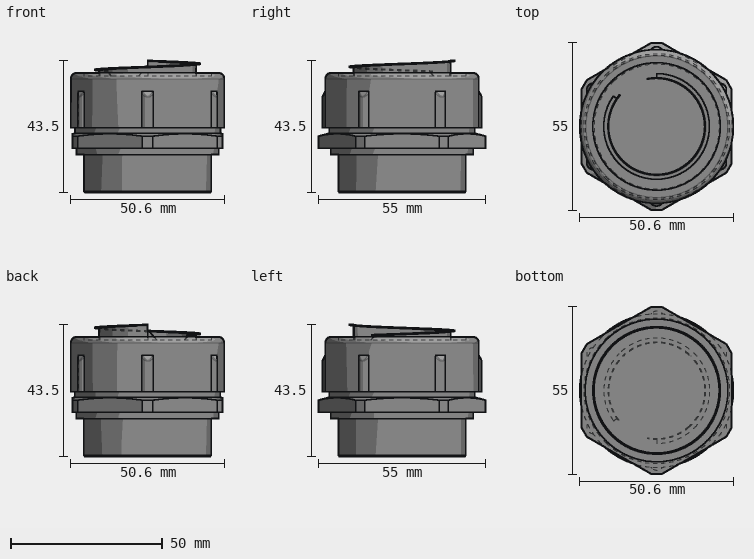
import cadquery as cq
import math

spigot_diameter = 42.0
spigot_chamfer = 0.4
collar_bottom = 12.5
collar_diameter = 47.0
hex_bottom = 14.5
hex_top = 19.5
neck_diameter = 48.0
cap_bottom = 21.3
cap_top = 39.4
cap_diameter = 50.6
cap_rim_radius = 2.0

hex_sides = 6
hex_half_angle = 180 / hex_sides
hex_across_flats = 49.4
hex_across_corners = 55.04
hex_chamfer_angle = 15.0

recess_diameter = 42.0
recess_floor = 38.4

rib_count = 6
rib_width = 3.75
rib_reach = 26.2
rib_top = 33.3
rib_slant_height = 1.7
rib_edge_radius = 0.6

total_height = 43.5
wall_inner_radius = 15.8
wall_outer_radius = 16.03
lip_outer_radius = 17.4
lip_thickness = 0.25
bend_radius = 0.4
helix_pitch = 4.0
helix_start_angle = 145.0
helix_end_angle = 450.0
helix_rise = helix_pitch * (helix_end_angle - helix_start_angle) / 360
low_end_foot = 1.5
low_end_foot_height = total_height - helix_rise - recess_floor - bend_radius
high_end_foot = 3.0
high_end_foot_height = 3.4


def cylinder(diameter, bottom, top):
    return cq.Workplane("XY").workplane(offset=bottom).circle(diameter / 2).extrude(top - bottom)


def make_spigot():
    return cylinder(spigot_diameter, 0, collar_bottom).faces("<Z").chamfer(spigot_chamfer)


def make_hex_nut():
    height = hex_top - hex_bottom
    full_corners = hex_across_flats / math.cos(math.radians(hex_half_angle))
    base = cq.Workplane("XY").workplane(offset=hex_bottom)
    nut = base.transformed(rotate=(0, 0, hex_half_angle)).polygon(hex_sides, full_corners).extrude(height)
    trim_corners = hex_across_corners / math.cos(math.radians(hex_half_angle))
    nut = nut.intersect(base.polygon(hex_sides, trim_corners).extrude(height))
    cone_bottom_radius = neck_diameter / 2 + height / math.tan(math.radians(hex_chamfer_angle))
    cone = cq.Workplane("XY").add(
        cq.Solid.makeCone(cone_bottom_radius, neck_diameter / 2, height, pnt=cq.Vector(0, 0, hex_bottom))
    )
    return nut.intersect(cone)


def make_rib():
    """One rib on the +X side, with a sloped top whose curved rim is rounded."""
    cap_radius = cap_diameter / 2
    half_width = rib_width / 2
    root_x = math.sqrt(cap_radius**2 - half_width**2)
    crest = rib_reach - root_x
    rod_radius = (half_width**2 + crest**2) / (2 * crest)
    rod_center = rib_reach - rod_radius
    rod = cylinder(2 * rod_radius, cap_bottom, cap_top).translate((rod_center, 0, 0))
    slant_run = rib_reach - cap_radius
    inner_top = rib_top + (cap_radius - rod_center) * rib_slant_height / slant_run
    side_outline = (
        cq.Workplane("XZ")
        .moveTo(rod_center, cap_bottom)
        .lineTo(rib_reach, cap_bottom)
        .lineTo(rib_reach, rib_top - rib_slant_height)
        .lineTo(rod_center, inner_top)
        .close()
        .extrude(rod_radius, both=True)
    )
    slanted_rim = rod.intersect(side_outline).edges("not(|Y or |Z or <Z)")
    return slanted_rim.fillet(rib_edge_radius)


def make_cap():
    cap = cylinder(cap_diameter, cap_bottom, cap_top).faces(">Z").edges().fillet(cap_rim_radius)
    rib = make_rib()
    for index in range(rib_count):
        angle = 90 + index * 360 / rib_count
        cap = cap.union(rib.rotate((0, 0, 0), (0, 0, 1), angle))
    return cap.cut(cylinder(recess_diameter, recess_floor, cap_top))


def make_helical_wall():
    start_top = total_height - helix_rise
    wall_depth = total_height - recess_floor
    profile = (
        cq.Workplane("XZ")
        .moveTo(wall_inner_radius + bend_radius, start_top)
        .lineTo(lip_outer_radius, start_top)
        .lineTo(lip_outer_radius, start_top - lip_thickness)
        .lineTo(wall_outer_radius, start_top - lip_thickness)
        .lineTo(wall_outer_radius, start_top - wall_depth)
        .lineTo(wall_inner_radius, start_top - wall_depth)
        .lineTo(wall_inner_radius, start_top - bend_radius)
        .radiusArc((wall_inner_radius + bend_radius, start_top), bend_radius)
        .close()
    )
    path = cq.Workplane("XY").add(
        cq.Wire.makeHelix(helix_pitch, helix_rise, wall_inner_radius, center=cq.Vector(0, 0, start_top))
    )
    wall = profile.sweep(path, isFrenet=True).rotate((0, 0, 0), (0, 0, 1), helix_start_angle)
    below_floor = cylinder(2 * recess_diameter, recess_floor - 2 * wall_depth, recess_floor)
    return wall.cut(below_floor)


def make_wall_foot(angle, length, height):
    """Triangular toe of the wall; a signed length runs along the tangent at the given angle."""
    toe = (
        cq.Workplane("YZ")
        .moveTo(0, recess_floor)
        .lineTo(length, recess_floor)
        .lineTo(0, recess_floor + height)
        .close()
        .extrude(2 * wall_outer_radius)
    )
    ring = cylinder(2 * wall_outer_radius, recess_floor, total_height).cut(
        cylinder(2 * wall_inner_radius, recess_floor, total_height)
    )
    return ring.intersect(toe).rotate((0, 0, 0), (0, 0, 1), angle)


def make_body():
    body = make_spigot()
    body = body.union(cylinder(collar_diameter, collar_bottom, hex_bottom))
    body = body.union(make_hex_nut())
    body = body.union(cylinder(neck_diameter, hex_top, cap_bottom))
    return body.union(make_cap())


result = (
    make_body()
    .union(make_helical_wall())
    .union(make_wall_foot(helix_start_angle, -low_end_foot, low_end_foot_height))
    .union(make_wall_foot(helix_end_angle, high_end_foot, high_end_foot_height))
)